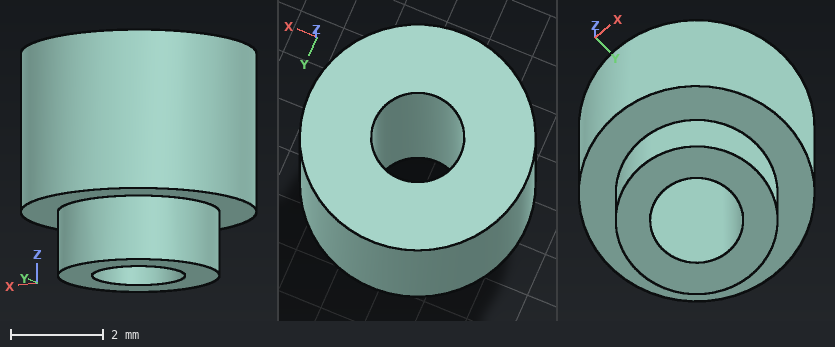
import cadquery as cq

body_diameter = 5.1
spigot_diameter = 3.5
bore_diameter = 2.01
total_height = 4.9
body_height = 3.5
spigot_height = total_height - body_height

spigot = cq.Workplane("XY").circle(spigot_diameter / 2).extrude(spigot_height)
stepped_bush = (
    spigot.faces(">Z")
    .workplane()
    .circle(body_diameter / 2)
    .extrude(body_height)
)

result = stepped_bush.faces(">Z").workplane().hole(bore_diameter)